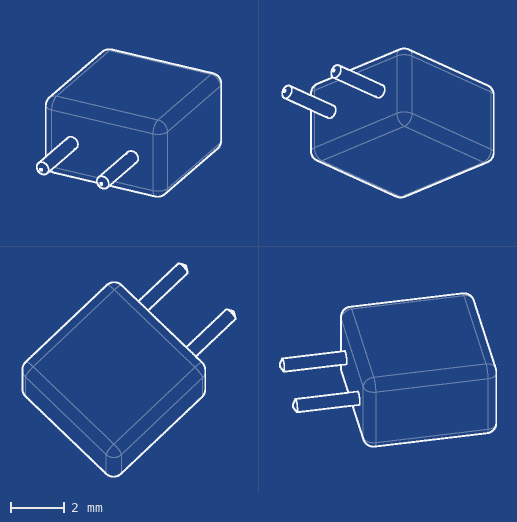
import cadquery as cq

total_length = 7.58
body_width = 5.08
body_length = 5.08
body_height = 3.18
edge_radius = 0.4

pin_diameter = 0.51
pin_spacing = body_width / 2
pin_length = total_length - body_length
tip_length = 0.13
tip_flat_diameter = 0.1

pin_radius = pin_diameter / 2
tip_flat_radius = tip_flat_diameter / 2


def make_body():
    """Block rounded on every edge, with its -Y face on the XZ plane."""
    block = cq.Workplane("XY").box(body_width, body_length, body_height)
    return block.edges().fillet(edge_radius).translate((0, body_length / 2, 0))


def make_pin(x):
    """Round pin along -Y with a tapered tip, rooted on the -Y face."""
    half_profile = (
        cq.Workplane("XY")
        .lineTo(pin_radius, 0)
        .lineTo(pin_radius, tip_length - pin_length)
        .lineTo(tip_flat_radius, -pin_length)
        .lineTo(0, -pin_length)
        .close()
    )
    return half_profile.revolve(360, (0, 0, 0), (0, 1, 0)).translate((x, 0, 0))


result = make_body()
for side in (-1, 1):
    result = result.union(make_pin(side * pin_spacing / 2))